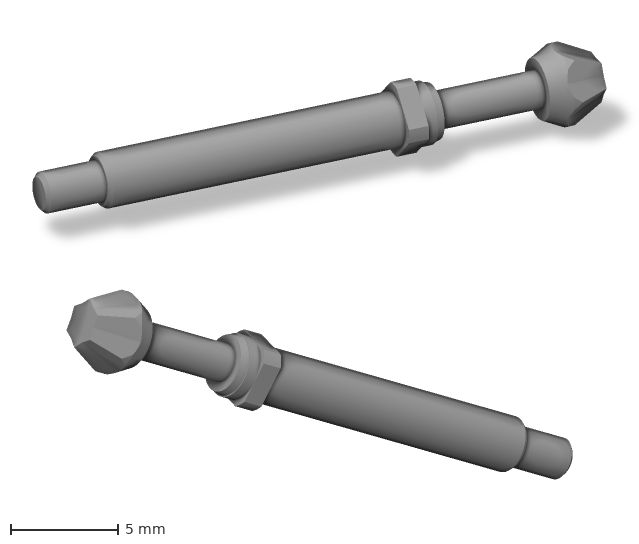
import cadquery as cq
import math

pin_length = 3.0
body_length = 15.0
collar_length = 1.0
ring_length = 0.6
taper_length = 0.4
shaft_length = 5.3
head_length = 3.0

body_rear_y = -body_length
pin_end_y = body_rear_y - pin_length
ring_base_y = collar_length
taper_base_y = ring_base_y + ring_length
shaft_base_y = taper_base_y + taper_length
head_base_y = shaft_base_y + shaft_length
head_tip_y = head_base_y + head_length

pin_diameter = 2.0
body_diameter = 2.7
collar_diameter = 3.7
ring_diameter = 3.07
taper_base_diameter = 2.95
taper_tip_diameter = 2.75
shaft_diameter = 1.85
head_diameter = 4.0
head_base_diameter = 3.0

pin_chamfer = 0.2
body_end_chamfer_length = 0.2
body_end_chamfer_depth = 0.15

collar_flats = ring_diameter
collar_turn = 45

ridge_count = 6
ridge_tip_radius = 1.2
ridge_run = 1.55
valley_ratio = 0.822
back_cone_length = 1.0


def revolve_about_y(profile):
    """Turn an outline of (radius, y) points about the Y axis."""
    return cq.Workplane("XY").polyline(profile).close().revolve(360, (0, 0), (0, 1))


def cross_plane(y):
    """Plane across the axis at station y, facing +Y, with +X kept along X."""
    return cq.Plane(origin=(0, y, 0), xDir=(1, 0, 0), normal=(0, 1, 0))


def make_stem():
    """Pin, body, ring, taper and shaft as one turned piece, running up to the head."""
    pin_radius = pin_diameter / 2
    body_radius = body_diameter / 2
    ring_radius = ring_diameter / 2
    shaft_radius = shaft_diameter / 2
    return revolve_about_y([
        (0, pin_end_y),
        (pin_radius - pin_chamfer, pin_end_y),
        (pin_radius, pin_end_y + pin_chamfer),
        (pin_radius, body_rear_y),
        (body_radius - body_end_chamfer_depth, body_rear_y),
        (body_radius, body_rear_y + body_end_chamfer_length),
        (body_radius, 0),
        (ring_radius, 0),
        (ring_radius, taper_base_y),
        (taper_base_diameter / 2, taper_base_y),
        (taper_tip_diameter / 2, shaft_base_y),
        (shaft_radius, shaft_base_y),
        (shaft_radius, head_base_y),
        (0, head_base_y),
    ])


def make_collar():
    """Square collar standing on a corner, with its corners turned round."""
    square = (
        cq.Workplane(cross_plane(0))
        .transformed(rotate=(0, 0, collar_turn))
        .rect(collar_flats, collar_flats)
        .extrude(collar_length)
    )
    disc = cq.Workplane(cross_plane(0)).circle(collar_diameter / 2).extrude(collar_length)
    return square.intersect(disc)


def star_points(ridge_radius):
    """Alternating ridge and valley points of the crown section, first ridge on +X."""
    point_count = 2 * ridge_count
    points = []
    for index in range(point_count):
        radius = ridge_radius if index % 2 == 0 else valley_ratio * ridge_radius
        angle = 2 * math.pi * index / point_count
        points.append((radius * math.cos(angle), radius * math.sin(angle)))
    return points


def make_head():
    """Turned blank with a coned back, cut to a fluted pyramid towards the tip."""
    head_radius = head_diameter / 2
    blank = revolve_about_y([
        (0, head_base_y),
        (head_base_diameter / 2, head_base_y),
        (head_radius, head_base_y + back_cone_length),
        (head_radius, head_tip_y),
        (0, head_tip_y),
    ])
    ridge_slope = (head_radius - ridge_tip_radius) / ridge_run
    ridge_base_radius = ridge_tip_radius + ridge_slope * head_length
    crown = (
        cq.Workplane(cross_plane(head_base_y))
        .polyline(star_points(ridge_base_radius)).close()
        .workplane(offset=head_length)
        .polyline(star_points(ridge_tip_radius)).close()
        .loft(ruled=True, combine=True)
    )
    return blank.intersect(crown)


result = make_stem().union(make_collar()).union(make_head())